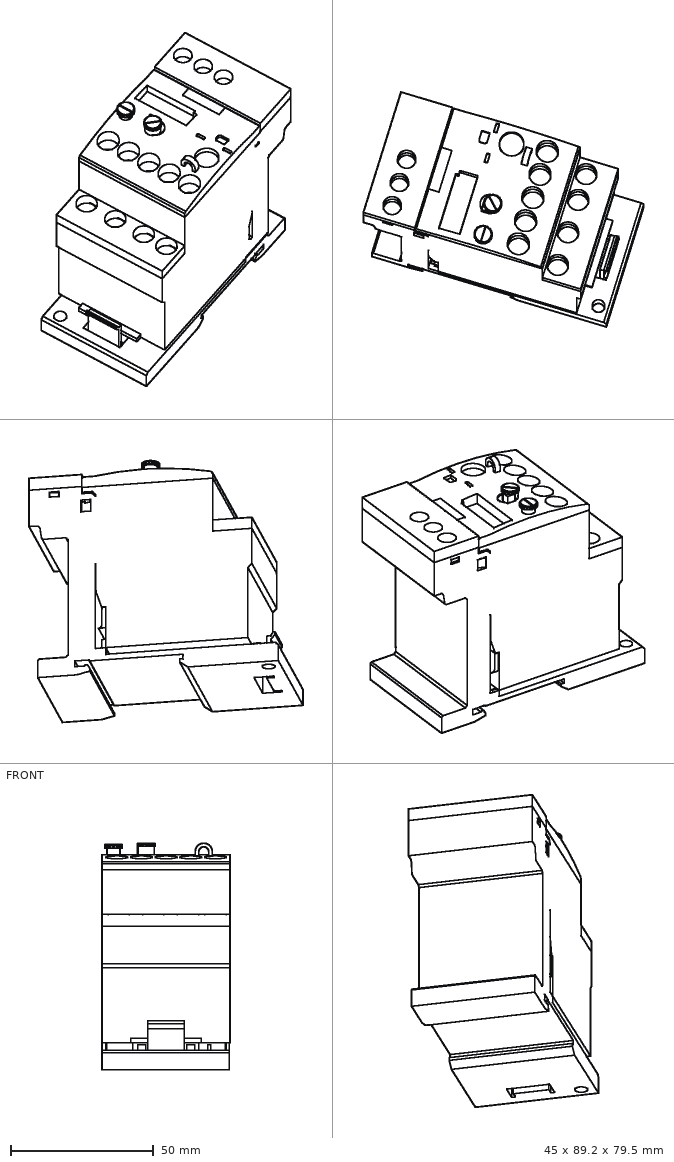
import cadquery as cq
import math


HOUSING_WIDTH = 45.0
BASE_WIDTH = 44.75
TOTAL_DEPTH = 89.15

BASE_DEPTH = 86.0
BASE_TOP = 6.95
BASE_FRONT_CHAMFER = 1.0
BASE_BACK_CHAMFER = 0.6
RAIL_ROOF = 4.9

HOUSING_BOTTOM = 9.45
COLUMN_BACK = 75.15
COLUMN_FRONT = 61.7
LOWER_FRONT = 10.9
UPPER_FRONT = 9.45
FRONT_STEP_BOTTOM = 35.75
FRONT_STEP_TOP = 37.2
OVERHANG_BOTTOM = 51.8
OVERHANG_STEP = 57.0
COLUMN_ROUND = 0.8

REAR_COVER_BOTTOM = 70.6
REAR_COVER_TOP = 75.15

HOOD_FRONT = 23.45
HOOD_BACK = 70.25
HOOD_BOTTOM = 70.25
HOOD_LEDGE_TOP = 74.2
HOOD_LEDGE_FRONT = 65.8
HOOD_BACK_CHAMFER = 0.5

FRONT_COVER_BOTTOM = 50.4
FRONT_COVER_TOP = 54.6

TERMINAL_PITCH = 8.65
FIRST_TERMINAL_X = 5.3
TERMINAL_HOLE_DEPTH = 8.9
REAR_HOLE_DIAMETER = 6.4
REAR_HOLE_Y = 80.15
HOOD_HOLE_DIAMETER = 7.7
HOOD_HOLE_Y = 33.9
FRONT_HOLE_DIAMETER = 7.4
FRONT_HOLE_Y = 19.6
FRONT_HOLE_XS = [5.9, 18.1, 30.2, 39.85]

CLIP_LEFT = 16.05
CLIP_RIGHT = 29.0
CLIP_BACK = 7.3
CLIP_FRONT = 5.9
CLIP_TOP = 15.8
CLIP_FOOT_TOP = 3.6
CLIP_WINDOW_CLEARANCE = 1.3
CLIP_WINDOW_FRONT = 4.6
CLIP_WINDOW_BACK = 11.6

SIDE_WINDOW_BACK = 65.35
SIDE_RECESS_TOP = 24.9
SLIT_TOP = 41.3
SLIT_WIDTH = 0.1

DIAL_Y = 46.45
DIAL_FOOT = 74.0
DIAL_CAP_DIAMETER = 6.3
SMALL_DIAL_X = 4.1
LUG_DIAL_X = 15.6
LOOP_X = 35.75
LOOP_BACK = 41.2
LOOP_FRONT = 39.05
LOOP_OUTER_RADIUS = 3.0
LOOP_INNER_RADIUS = 1.7
LOOP_TOP = 79.5
PLATE_LEFT = 14.9
PLATE_RIGHT = 30.4
PLATE_FRONT = 66.0
PLATE_BACK = 69.8
PLATE_THICKNESS = 0.9


def block(x0, x1, y0, y1, z0, z1):
    """Box between two opposite corners."""
    return cq.Workplane("XY").box(x1 - x0, y1 - y0, z1 - z0, centered=False).translate((x0, y0, z0))


def post(x, y, diameter, z0, z1):
    """Upright cylinder, used for bosses and as a cutter for round holes."""
    return cq.Workplane("XY", origin=(x, y, z0)).circle(diameter / 2).extrude(z1 - z0)


def hole_row(xs, y, diameter, top):
    """Cutters for a row of blind terminal holes measured down from the level top."""
    holes = cq.Workplane("XY", origin=(0, 0, top - TERMINAL_HOLE_DEPTH))
    return holes.pushPoints([(x, y) for x in xs]).circle(diameter / 2).extrude(2 * TERMINAL_HOLE_DEPTH)


rear_holes = hole_row(
    [FIRST_TERMINAL_X + i * TERMINAL_PITCH for i in range(3)], REAR_HOLE_Y, REAR_HOLE_DIAMETER, REAR_COVER_TOP
)
hood_holes = hole_row(
    [FIRST_TERMINAL_X + i * TERMINAL_PITCH for i in range(5)], HOOD_HOLE_Y, HOOD_HOLE_DIAMETER, HOOD_LEDGE_TOP
)
front_holes = hole_row(FRONT_HOLE_XS, FRONT_HOLE_Y, FRONT_HOLE_DIAMETER, FRONT_COVER_TOP)


def make_base():
    """Base plate with the rail recess, its two hooks and the mounting hole."""
    base = (
        cq.Workplane("YZ")
        .moveTo(0, 0)
        .lineTo(32.4, 0)
        .lineTo(35.3, 2.1)
        .lineTo(35.3, 3.2)
        .lineTo(34.1, 3.2)
        .lineTo(34.1, RAIL_ROOF)
        .lineTo(67.6, RAIL_ROOF)
        .lineTo(67.6, 5.3)
        .lineTo(72.75, 5.3)
        .lineTo(72.75, 3.1)
        .lineTo(69.4, 3.1)
        .threePointArc((68.65, 3.6), (68.0, 3.2))
        .lineTo(67.4, 2.05)
        .lineTo(67.4, 1.1)
        .lineTo(72.0, 0)
        .lineTo(BASE_DEPTH, 0)
        .lineTo(BASE_DEPTH, BASE_TOP - BASE_BACK_CHAMFER)
        .lineTo(BASE_DEPTH - BASE_BACK_CHAMFER, BASE_TOP)
        .lineTo(BASE_FRONT_CHAMFER, BASE_TOP)
        .lineTo(0, BASE_TOP - BASE_FRONT_CHAMFER)
        .close()
        .extrude(BASE_WIDTH)
    )
    return base.cut(post(5.1, 4.5, 4.5, 0, BASE_TOP))


def make_clip():
    """Upright clip tab with a forward-bent lip."""
    return (
        cq.Workplane("YZ", origin=(CLIP_LEFT, 0, 0))
        .moveTo(CLIP_WINDOW_FRONT, 0)
        .lineTo(CLIP_BACK, 0)
        .lineTo(CLIP_BACK, CLIP_TOP)
        .lineTo(CLIP_FRONT, CLIP_TOP)
        .lineTo(5.0, 17.3)
        .lineTo(4.4, 17.2)
        .lineTo(4.4, 16.2)
        .lineTo(CLIP_FRONT, 14.4)
        .lineTo(CLIP_FRONT, CLIP_FOOT_TOP)
        .lineTo(CLIP_WINDOW_FRONT, CLIP_FOOT_TOP)
        .close()
        .extrude(CLIP_RIGHT - CLIP_LEFT)
    )


def make_shell():
    """Main block, from the floor above the base up to the covers and the hood."""
    return (
        cq.Workplane("YZ")
        .moveTo(LOWER_FRONT, HOUSING_BOTTOM)
        .lineTo(LOWER_FRONT, FRONT_STEP_BOTTOM)
        .lineTo(UPPER_FRONT, FRONT_STEP_TOP)
        .lineTo(UPPER_FRONT, FRONT_COVER_BOTTOM)
        .lineTo(HOOD_FRONT, FRONT_COVER_BOTTOM)
        .lineTo(HOOD_FRONT, HOOD_BOTTOM)
        .lineTo(HOOD_BACK, HOOD_BOTTOM)
        .lineTo(HOOD_BACK, REAR_COVER_BOTTOM)
        .lineTo(TOTAL_DEPTH, REAR_COVER_BOTTOM)
        .lineTo(TOTAL_DEPTH, OVERHANG_STEP)
        .lineTo(86.3, OVERHANG_STEP)
        .threePointArc((85.5, 56.5), (85.1, 55.5))
        .lineTo(84.7, 52.7)
        .threePointArc((84.4, 52.1), (83.8, OVERHANG_BOTTOM))
        .lineTo(COLUMN_BACK + COLUMN_ROUND, OVERHANG_BOTTOM)
        .lineTo(COLUMN_BACK, OVERHANG_BOTTOM - COLUMN_ROUND)
        .lineTo(COLUMN_BACK, HOUSING_BOTTOM)
        .close()
        .extrude(HOUSING_WIDTH)
    )


def make_column_foot():
    """Lower end of the rear column, flaring into the base, with pockets in its front wall."""
    foot = (
        cq.Workplane("YZ")
        .moveTo(COLUMN_FRONT, BASE_TOP)
        .lineTo(COLUMN_FRONT, HOUSING_BOTTOM)
        .lineTo(COLUMN_BACK, HOUSING_BOTTOM)
        .lineTo(COLUMN_BACK, BASE_TOP + COLUMN_ROUND)
        .lineTo(COLUMN_BACK + COLUMN_ROUND, BASE_TOP)
        .close()
        .extrude(BASE_WIDTH)
    )
    recess_depth = 0.9
    pocket_depth = 1.8
    pocket_top = 8.9
    foot = foot.cut(
        block(10.9, 34.05, COLUMN_FRONT, COLUMN_FRONT + recess_depth, BASE_TOP, HOUSING_BOTTOM)
    )
    for left, right in [(12.7, 15.4), (29.8, 32.5), (37.1, 38.2)]:
        foot = foot.cut(block(left, right, COLUMN_FRONT, COLUMN_FRONT + pocket_depth, BASE_TOP, pocket_top))
    groove_width = 0.4
    for left in (1.4, 43.3):
        foot = foot.cut(
            block(left, left + groove_width, COLUMN_FRONT, COLUMN_FRONT + pocket_depth, BASE_TOP, HOUSING_BOTTOM)
        )
    return foot


def cut_side_window(body):
    """Window through the housing in front of the rear column, with the recess and slit around it."""
    window = (
        cq.Workplane("YZ")
        .moveTo(SIDE_WINDOW_BACK, 31.2)
        .lineTo(63.2, SIDE_RECESS_TOP)
        .lineTo(63.2, 18.4)
        .threePointArc((63.6, 17.5), (64.5, 17.1))
        .lineTo(SIDE_WINDOW_BACK, 17.1)
        .close()
        .extrude(HOUSING_WIDTH)
    )
    slit_depth = 0.5
    slit = block(0, slit_depth, SIDE_WINDOW_BACK - SLIT_WIDTH, SIDE_WINDOW_BACK, SIDE_RECESS_TOP, SLIT_TOP)
    body = body.cut(window).cut(slit)
    for top, depth in [(SIDE_RECESS_TOP, 0.5), (17.1, 11.6), (14.0, 12.5), (11.5, 13.4)]:
        body = body.cut(block(0, depth, COLUMN_FRONT, SIDE_WINDOW_BACK, HOUSING_BOTTOM, top))
    return body


def cut_side_details(body):
    """Small latch pockets and the bent groove near the top of the left side."""
    body = body.cut(block(0, 0.9, 78.45, 81.9, 67.5, 69.4))
    latch_back = 70.7
    latch_front = 67.0
    latch_bottom = 61.2
    latch_top = 65.5
    latch = (
        cq.Workplane("XY", origin=(0, 0, latch_bottom))
        .moveTo(0, latch_front)
        .lineTo(0.5, latch_front)
        .lineTo(2.1, latch_back)
        .lineTo(0, latch_back)
        .close()
        .extrude(latch_top - latch_bottom)
    )
    passage_height = 0.6
    passage = block(0, HOUSING_WIDTH, 67.5, 69.45, latch_top - passage_height, latch_top)
    groove_depth = 0.45
    groove = (
        cq.Workplane("YZ")
        .moveTo(HOOD_BACK, HOOD_BOTTOM)
        .lineTo(HOOD_BACK, 68.0)
        .lineTo(66.7, 68.0)
        .lineTo(65.35, 66.6)
        .lineTo(65.35, 67.2)
        .lineTo(66.5, 68.5)
        .lineTo(HOOD_BACK - SLIT_WIDTH, 68.5)
        .lineTo(HOOD_BACK - SLIT_WIDTH, HOOD_BOTTOM)
        .close()
        .extrude(groove_depth)
    )
    return body.cut(latch).cut(passage).cut(groove)


def make_housing():
    base = make_base()
    base = base.cut(
        block(
            CLIP_LEFT - CLIP_WINDOW_CLEARANCE,
            CLIP_RIGHT + CLIP_WINDOW_CLEARANCE,
            CLIP_WINDOW_FRONT,
            CLIP_WINDOW_BACK,
            0,
            BASE_TOP,
        )
    )
    front_bar = block(10.2, 34.95, 8.4, LOWER_FRONT, HOUSING_BOTTOM, 11.1)
    shell = cut_side_details(cut_side_window(make_shell()))
    shell = shell.cut(rear_holes).cut(hood_holes).cut(front_holes)
    return base.union(make_column_foot()).union(make_clip()).union(shell).union(front_bar)


def make_front_cover():
    slab = block(0, HOUSING_WIDTH, UPPER_FRONT, HOOD_FRONT, FRONT_COVER_BOTTOM, FRONT_COVER_TOP)
    return slab.cut(front_holes)


def make_rear_cover():
    slab = block(0, HOUSING_WIDTH, HOOD_BACK, TOTAL_DEPTH, REAR_COVER_BOTTOM, REAR_COVER_TOP)
    return slab.cut(rear_holes)


def make_plate():
    """Name plate, flush with the ledge at the back of the hood."""
    plate_bottom = HOOD_LEDGE_TOP - PLATE_THICKNESS
    return block(PLATE_LEFT, PLATE_RIGHT, PLATE_FRONT, PLATE_BACK, plate_bottom, HOOD_LEDGE_TOP)


def make_hood():
    hood = (
        cq.Workplane("YZ")
        .moveTo(HOOD_FRONT, HOOD_BOTTOM)
        .lineTo(HOOD_FRONT, 72.2)
        .lineTo(24.1, 72.9)
        .threePointArc((48.7, 75.5), (HOOD_LEDGE_FRONT, HOOD_LEDGE_TOP))
        .lineTo(HOOD_BACK - HOOD_BACK_CHAMFER, HOOD_LEDGE_TOP)
        .lineTo(HOOD_BACK, HOOD_LEDGE_TOP - HOOD_BACK_CHAMFER)
        .lineTo(HOOD_BACK, HOOD_BOTTOM)
        .close()
        .extrude(HOUSING_WIDTH)
    )
    above = 80.2
    window_floor = 71.3
    window = block(2.4, 24.25, 54.6, 62.2, window_floor, above)
    window = window.cut(block(22.8, 24.25, 61.2, 62.2, window_floor, above))
    button_floor = 74.0
    button = block(36.0, 40.1, 55.0, 57.95, button_floor, above).edges("|Z and <X").fillet(0.9)
    hood = hood.cut(window).cut(button)
    for left in (29.7, 40.9):
        hood = hood.cut(block(left, left + 3.2, 52.8, 53.85, button_floor, above))
    round_recess = post(38.5, 46.5, 8.6, 73.5, above)
    dial_recess = post(15.8, 47.6, 6.8, 75.1, above)
    return hood.cut(round_recess).cut(dial_recess).cut(hood_holes).cut(make_plate())


def make_cap(x, bottom, top, slot_angle):
    """Serrated dial cap with a bevelled top and a fine screwdriver slot."""
    serrations = 16
    serration_diameter = 0.5
    bevel = 0.4
    slot_width = 0.2
    slot_depth = 0.3
    cap = post(x, DIAL_Y, DIAL_CAP_DIAMETER, bottom, top).faces(">Z").chamfer(bevel)
    for i in range(serrations):
        angle = 2 * math.pi * i / serrations
        tooth_x = x + DIAL_CAP_DIAMETER / 2 * math.cos(angle)
        tooth_y = DIAL_Y + DIAL_CAP_DIAMETER / 2 * math.sin(angle)
        cap = cap.cut(post(tooth_x, tooth_y, serration_diameter, bottom, top))
    slot = cq.Workplane("XY").box(DIAL_CAP_DIAMETER, slot_width, 2 * slot_depth)
    slot = slot.rotate((0, 0, 0), (0, 0, 1), slot_angle).translate((x, DIAL_Y, top))
    return cap.cut(slot)


def make_small_dial(hood):
    cap_bottom = 77.7
    stem = post(SMALL_DIAL_X, DIAL_Y, 4.7, DIAL_FOOT, cap_bottom)
    return stem.union(make_cap(SMALL_DIAL_X, cap_bottom, 79.1, 0)).cut(hood)


def make_lug_dial(hood):
    """Dial whose stem has a square corner lug pointing to the back left."""
    cap_bottom = 78.4
    lug_size = 3.2
    stem = post(LUG_DIAL_X, DIAL_Y, 5.6, DIAL_FOOT, cap_bottom)
    lug = block(LUG_DIAL_X - lug_size, LUG_DIAL_X, DIAL_Y, DIAL_Y + lug_size, DIAL_FOOT, cap_bottom)
    return stem.union(lug).union(make_cap(LUG_DIAL_X, cap_bottom, LOOP_TOP, 45)).cut(hood)


def make_seal_loop(hood):
    """Arched loop that stands on the hood on two short legs."""
    centre_z = LOOP_TOP - LOOP_OUTER_RADIUS
    leg_length = centre_z - DIAL_FOOT

    def arch(radius):
        return (
            cq.Workplane("XZ", origin=(LOOP_X, LOOP_BACK, centre_z))
            .moveTo(-radius, -leg_length)
            .lineTo(-radius, 0)
            .threePointArc((0, radius), (radius, 0))
            .lineTo(radius, -leg_length)
            .close()
            .extrude(LOOP_BACK - LOOP_FRONT)
        )

    return arch(LOOP_OUTER_RADIUS).cut(arch(LOOP_INNER_RADIUS)).cut(hood)


housing = make_housing()
front_cover = make_front_cover()
rear_cover = make_rear_cover()
hood = make_hood()
plate = make_plate()
small_dial = make_small_dial(hood)
lug_dial = make_lug_dial(hood)
seal_loop = make_seal_loop(hood)

result = cq.Compound.makeCompound(
    [
        housing.val(),
        front_cover.val(),
        rear_cover.val(),
        hood.val(),
        plate.val(),
        small_dial.val(),
        lug_dial.val(),
        seal_loop.val(),
    ]
)